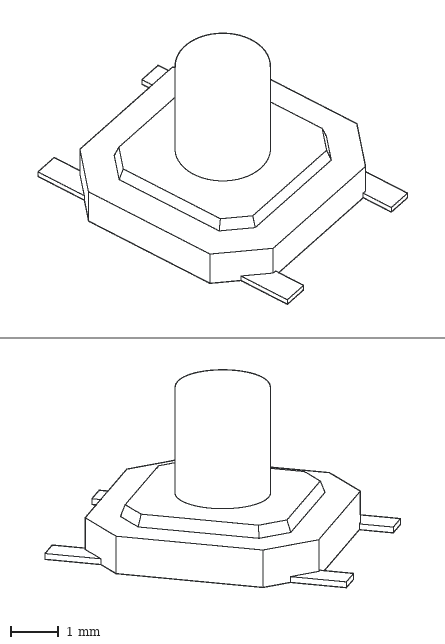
import cadquery as cq

body_side = 5.1
body_height = 0.835
body_corner = 0.95

cover_side = 3.72
cover_height = 0.255
cover_corner = 0.54
cover_taper = 20

button_diameter = 2.01
total_height = 3.5
button_edge_radius = 0.065

lead_span = 6.58
lead_width = 0.565
lead_thickness = 0.13
lead_pitch = 3.605

cover_top = body_height + cover_height


def cut_corner_square(side, corner):
    """Square outline centred on the origin with its corners cut at 45 degrees."""
    return cq.Sketch().rect(side, side).vertices().chamfer(corner)


def make_body():
    return cq.Workplane("XY").placeSketch(cut_corner_square(body_side, body_corner)).extrude(body_height)


def make_cover():
    return (
        cq.Workplane("XY")
        .workplane(offset=body_height)
        .placeSketch(cut_corner_square(cover_side, cover_corner))
        .extrude(cover_height, taper=cover_taper)
    )


def make_button():
    return (
        cq.Workplane("XY")
        .workplane(offset=cover_top)
        .circle(button_diameter / 2)
        .extrude(total_height - cover_top)
        .faces(">Z")
        .edges()
        .fillet(button_edge_radius)
    )


def make_leads():
    return (
        cq.Workplane("XY")
        .pushPoints([(0, -lead_pitch / 2), (0, lead_pitch / 2)])
        .rect(lead_span, lead_width)
        .extrude(lead_thickness)
    )


result = make_body().union(make_cover()).union(make_button()).union(make_leads())